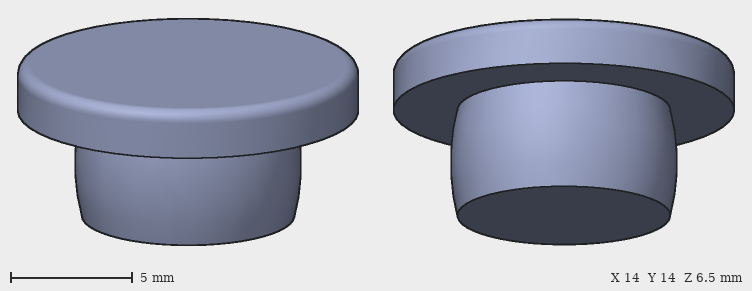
import cadquery as cq

head_diameter = 14.0
head_thickness = 2.0
rim_radius = 0.5

total_height = 6.5
stem_length = total_height - head_thickness
stem_end_diameter = 8.74
stem_middle_diameter = 9.3


def make_head():
    """Disc standing on Z = 0 with its top edge rounded."""
    disc = cq.Workplane("XY").circle(head_diameter / 2).extrude(head_thickness)
    return disc.faces(">Z").edges().fillet(rim_radius)


def make_stem():
    """Solid of revolution about Z whose side is one shallow arc."""
    end_radius = stem_end_diameter / 2
    middle_radius = stem_middle_diameter / 2
    return (
        cq.Workplane("XZ")
        .moveTo(0, 0)
        .lineTo(end_radius, 0)
        .threePointArc((middle_radius, -stem_length / 2), (end_radius, -stem_length))
        .lineTo(0, -stem_length)
        .close()
        .revolve(360, (0, 0, 0), (0, 1, 0))
    )


result = make_head().union(make_stem())